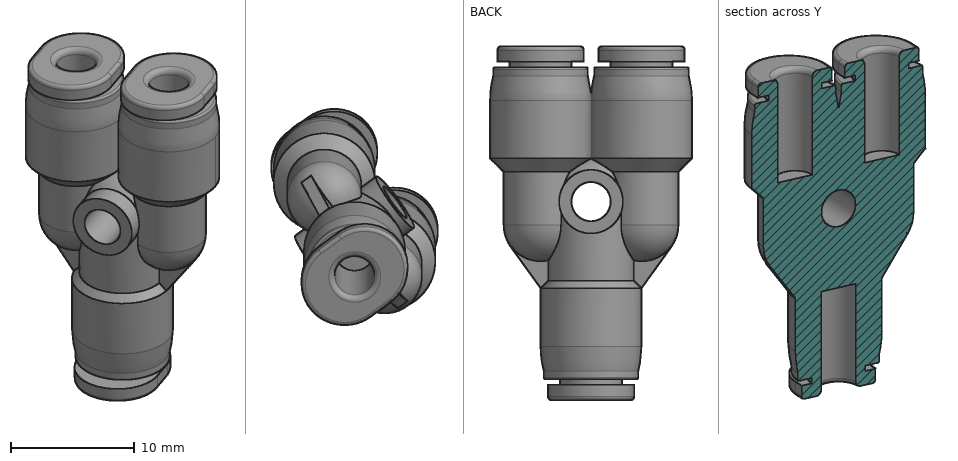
import cadquery as cq
import math


overall_height = 28.7
port_spacing = 8.18

cap_width = 7.0
cap_length = 9.0
cap_thickness = 1.25
cap_rim_radius = 0.32

neck_radius = 2.53
neck_gap = 0.43

body_radius = 4.1
collar_radius = 3.85
collar_length = 0.72
collar_rim_radius = 0.17
taper_length = 1.98
port_depth = 9.1

bore_radius = 1.6
bore_mouth_radius = 0.5

arm_radius = 3.0
arm_round_height = 14.24
stem_radius = 3.5

boss_height = 16.1
boss_radius = 2.58
boss_hole_radius = 1.58
boss_length = 2 * body_radius

rib_thickness = 1.0

arm_x = port_spacing / 2
arm_sides = (-1, 1)


def make_port(inner_radius):
    """Port with its mouth at Z = 0 and its body below, ending in a 45 degree shoulder."""
    collar_top = -(cap_thickness + neck_gap)
    taper_top = collar_top - collar_length
    taper_bottom = taper_top - taper_length
    shoulder_bottom = -port_depth - (body_radius - inner_radius)

    body = (
        cq.Workplane("XZ")
        .moveTo(0, shoulder_bottom)
        .lineTo(inner_radius, shoulder_bottom)
        .lineTo(body_radius, -port_depth)
        .lineTo(body_radius, taper_bottom)
        .tangentArcPoint((collar_radius, taper_top), relative=False)
        .lineTo(collar_radius, collar_top - collar_rim_radius)
        .radiusArc((collar_radius - collar_rim_radius, collar_top), -collar_rim_radius)
        .lineTo(0, collar_top)
        .close()
        .revolve(360, (0, 0), (0, 1))
    )
    neck = cq.Workplane("XY").workplane(offset=collar_top).circle(neck_radius).extrude(neck_gap)
    cap = (
        cq.Workplane("XY")
        .workplane(offset=-cap_thickness)
        .slot2D(cap_length, cap_width, 90)
        .extrude(cap_thickness)
        .faces(">Z")
        .edges()
        .fillet(cap_rim_radius)
    )
    return body.union(neck).union(cap)


def make_bore():
    """Blind bore with a rounded mouth at Z = 0."""
    mouth_radius = bore_radius + bore_mouth_radius
    return (
        cq.Workplane("XZ")
        .moveTo(0, 0)
        .lineTo(mouth_radius, 0)
        .radiusArc((bore_radius, -bore_mouth_radius), -bore_mouth_radius)
        .lineTo(bore_radius, -port_depth)
        .lineTo(0, -port_depth)
        .close()
        .revolve(360, (0, 0), (0, 1))
    )


def at_top(shape, side):
    """Move a shape from the origin to the mouth of one upper port."""
    return shape.translate((side * arm_x, 0, overall_height))


def at_bottom(shape):
    """Turn a shape over so that it faces down at the lower port."""
    return shape.rotate((0, 0, 0), (1, 0, 0), 180)


def make_arm(side):
    """Cylinder below an upper port, closed by a hemisphere."""
    length = overall_height - port_depth - arm_round_height
    cylinder = cq.Workplane("XY").circle(arm_radius).extrude(length)
    ball = cq.Workplane("XY").sphere(arm_radius)
    return cylinder.union(ball).translate((side * arm_x, 0, arm_round_height))


def make_stem():
    """Cylinder above the lower port, closed by a hemisphere at the boss axis."""
    cylinder = (
        cq.Workplane("XY").workplane(offset=port_depth).circle(stem_radius).extrude(boss_height - port_depth)
    )
    ball = cq.Workplane("XY").sphere(stem_radius).translate((0, 0, boss_height))
    return cylinder.union(ball)


def make_rib(side):
    """Web from the lower port's shoulder to the point where its edge is tangent to the arm's round."""
    drop = arm_round_height - port_depth
    tangent_angle = math.asin(arm_radius / drop)
    tangent_x = arm_x + arm_radius * math.cos(tangent_angle)
    tangent_z = arm_round_height - arm_radius * math.sin(tangent_angle)
    outline = [
        (0, port_depth),
        (side * body_radius, port_depth),
        (side * tangent_x, tangent_z),
        (side * arm_x, arm_round_height),
        (0, arm_round_height),
    ]
    return cq.Workplane("XZ").polyline(outline).close().extrude(rib_thickness / 2, both=True)


def make_boss_cylinder(radius):
    """Cylinder along Y spanning the full length of the boss."""
    return (
        cq.Workplane("XZ").center(0, boss_height).circle(radius).extrude(boss_length / 2, both=True)
    )


upper_port = make_port(arm_radius)
bore = make_bore()

result = at_bottom(make_port(stem_radius)).union(make_stem())
for side in arm_sides:
    result = result.union(at_top(upper_port, side)).union(make_arm(side)).union(make_rib(side))
result = result.union(make_boss_cylinder(boss_radius))

result = result.cut(at_bottom(bore)).cut(make_boss_cylinder(boss_hole_radius))
for side in arm_sides:
    result = result.cut(at_top(bore, side))